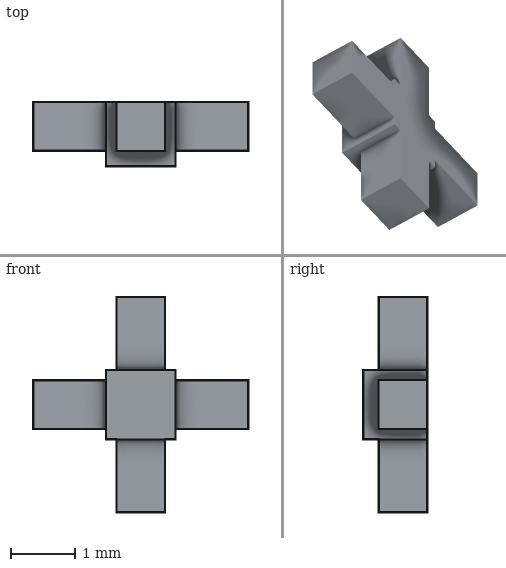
import cadquery as cq

span = 3.35
bar_side = 0.76
hub_side = 1.082
hub_depth = 1.0

back_y = hub_depth / 2


def block(size_x, size_y, size_z):
    """Box centred on X and Z, with its back face on the shared back plane."""
    return cq.Workplane("XY").box(size_x, size_y, size_z).translate((0, back_y - size_y / 2, 0))


hub = block(hub_side, hub_depth, hub_side)
horizontal_bar = block(span, bar_side, bar_side)
vertical_bar = block(bar_side, bar_side, span)

result = hub.union(horizontal_bar).union(vertical_bar)